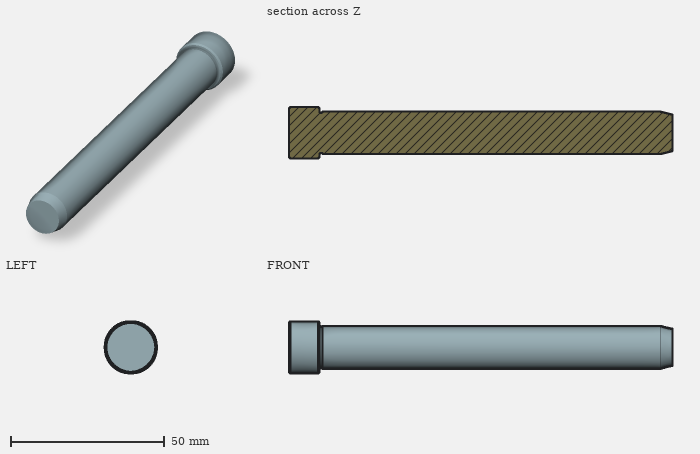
import cadquery as cq

total_length = 125.0
head_diameter = 17.0
head_length = 10.0
head_chamfer = 0.5
shank_diameter = 14.0
groove_width = 1.0
groove_depth = 0.4
tip_length = 4.0
tip_diameter = 12.0

head_radius = head_diameter / 2
shank_radius = shank_diameter / 2
groove_radius = shank_radius - groove_depth
tip_radius = tip_diameter / 2
head_start = -total_length / 2
head_end = head_start + head_length
groove_middle = head_end + groove_width / 2
groove_end = head_end + groove_width
tip_end = total_length / 2
tip_start = tip_end - tip_length

profile = (
    cq.Workplane("XY")
    .moveTo(head_start, 0)
    .lineTo(head_start, head_radius - head_chamfer)
    .lineTo(head_start + head_chamfer, head_radius)
    .lineTo(head_end - head_chamfer, head_radius)
    .lineTo(head_end, head_radius - head_chamfer)
    .lineTo(head_end, shank_radius)
    .threePointArc((groove_middle, groove_radius), (groove_end, shank_radius))
    .lineTo(tip_start, shank_radius)
    .lineTo(tip_end, tip_radius)
    .lineTo(tip_end, 0)
    .close()
)
result = profile.revolve(360, (0, 0, 0), (1, 0, 0))